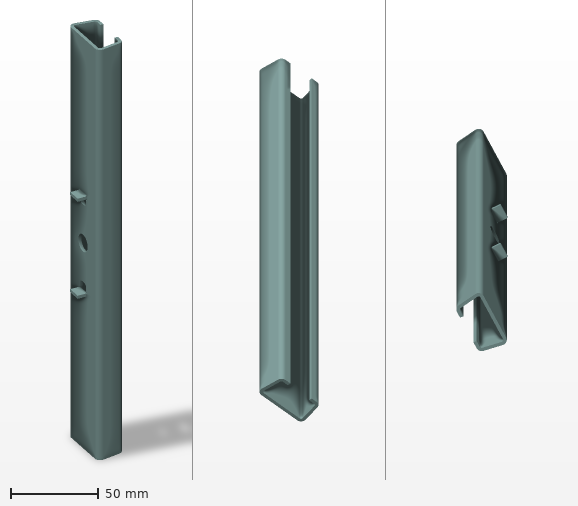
import cadquery as cq
import math

length = 270.0
width = 35.0
depth = 18.0
thickness = 2.02
bend_radius = 3.2
wall_lean = 9.0
mouth_width = 17.0

hole_diameter = 11.0
tab_width = 9.0
tab_reach = 6.0
tab_bend_radius = 0.8
tab_root = 33.8
window_width = 7.5
window_tip = 25.5
window_tip_rise = 1.4
relief_height = 3.5


def make_channel():
    """Extrude a rounded trapezoid, hollow it and open the mouth."""
    corner_setback = bend_radius / math.tan(math.radians((90 - wall_lean) / 2))
    base_half = width / 2 - bend_radius + corner_setback
    mouth_half = base_half - depth * math.tan(math.radians(wall_lean))
    outer = (
        cq.Workplane("XY")
        .workplane(offset=-length / 2)
        .polyline([(-base_half, 0), (base_half, 0), (mouth_half, depth), (-mouth_half, depth)])
        .close()
        .extrude(length)
        .edges("|Z")
        .fillet(bend_radius)
    )
    hollow = outer.faces("<Z").wires().toPending().offset2D(-thickness).extrude(length, combine=False)
    mouth = cq.Workplane("XY").box(mouth_width, depth, length).translate((0, depth, 0))
    return outer.cut(hollow).cut(mouth)


def through_web(sketch):
    """Extrude an XZ outline through the web thickness."""
    return sketch.extrude(-thickness)


def make_window():
    """Upper window: full tab width at the bend, narrower with a rounded end below."""
    half = window_width / 2
    side_end = window_tip + window_tip_rise
    relief_bottom = tab_root - relief_height
    narrow = (
        cq.Workplane("XZ")
        .moveTo(-half, tab_root)
        .lineTo(-half, side_end)
        .threePointArc((0, window_tip), (half, side_end))
        .lineTo(half, tab_root)
        .close()
    )
    relief = (
        cq.Workplane("XZ")
        .center(0, relief_bottom + relief_height / 2)
        .rect(tab_width, relief_height)
    )
    return through_web(narrow).union(through_web(relief))


def make_tab():
    """Upper tab: sheet bent forward a quarter turn out of the web."""
    outer_radius = tab_bend_radius + thickness
    diagonal = math.sqrt(0.5)
    bend_y = -tab_bend_radius

    def bend_middle(radius):
        return (bend_y + radius * diagonal, tab_root - radius * diagonal)

    return (
        cq.Workplane("YZ")
        .workplane(offset=-tab_width / 2)
        .moveTo(0, tab_root)
        .threePointArc(bend_middle(tab_bend_radius), (bend_y, tab_root - tab_bend_radius))
        .lineTo(-tab_reach, tab_root - tab_bend_radius)
        .lineTo(-tab_reach, tab_root - outer_radius)
        .lineTo(bend_y, tab_root - outer_radius)
        .threePointArc(bend_middle(outer_radius), (thickness, tab_root))
        .close()
        .extrude(tab_width)
    )


hole = through_web(cq.Workplane("XZ").circle(hole_diameter / 2))
window = make_window()
tab = make_tab()

result = make_channel().cut(hole)
result = result.cut(window).cut(window.mirror("XY"))
result = result.union(tab).union(tab.mirror("XY"))